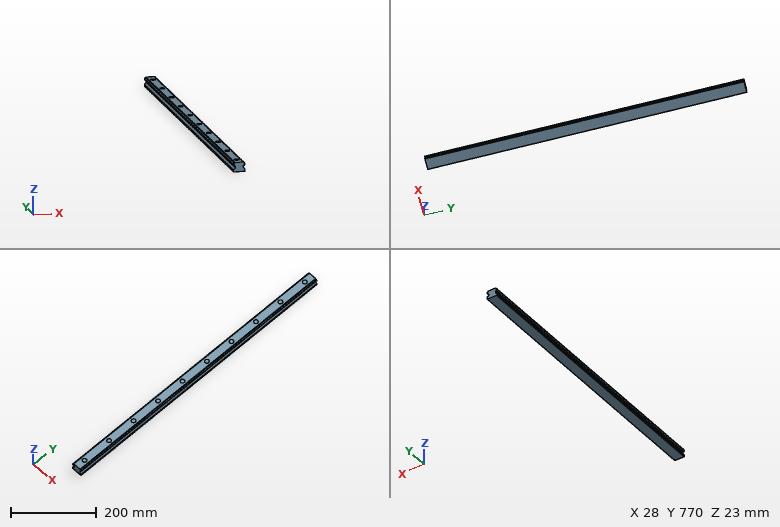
import cadquery as cq
import math

WIDTH = 28.0
LENGTH = 770.0
HEIGHT = 23.0

TOP_FLAT_WIDTH = 21.0
SHOULDER_BEVEL = 1.3
HEAD_FLANK_TOP = 19.0
HEAD_FLANK_BOTTOM = 17.0
TRACK_SAG = 0.5

WAIST_WIDTH = 19.0
WAIST_TOP = 13.5
WAIST_BOTTOM = 10.0
UNDERCUT_WIDTH = 24.0
UNDERCUT_HEIGHT = 14.5

FOOT_FLANK_TOP = 5.2
FOOT_SHOULDER_WIDTH = 24.0
FOOT_SHOULDER_HEIGHT = 7.6
FOOT_CHAMFER = 0.8

RECESS_COUNT = 10
RECESS_PITCH = 80.0
RECESS_DIAMETER = 11.0
RECESS_DEPTH = 0.5


def track_midpoint(start, end):
    """Middle point of a hollow track arc running downwards from start to end on the +X side."""
    chord_x = end[0] - start[0]
    chord_z = end[1] - start[1]
    chord = math.hypot(chord_x, chord_z)
    return (
        (start[0] + end[0]) / 2 + TRACK_SAG * chord_z / chord,
        (start[1] + end[1]) / 2 - TRACK_SAG * chord_x / chord,
    )


def make_rail():
    """Extrude the symmetric rail section along Y, centred on the origin."""
    half_width = WIDTH / 2
    half_top = TOP_FLAT_WIDTH / 2
    half_waist = WAIST_WIDTH / 2
    upper_track_start = (half_top + SHOULDER_BEVEL, HEIGHT - SHOULDER_BEVEL)
    upper_track_end = (half_width, HEAD_FLANK_TOP)
    lower_track_start = (half_width, HEAD_FLANK_BOTTOM)
    lower_track_end = (UNDERCUT_WIDTH / 2, UNDERCUT_HEIGHT)
    half_section = (
        cq.Workplane("XZ")
        .moveTo(0, HEIGHT)
        .lineTo(half_top, HEIGHT)
        .lineTo(*upper_track_start)
        .threePointArc(track_midpoint(upper_track_start, upper_track_end), upper_track_end)
        .lineTo(*lower_track_start)
        .threePointArc(track_midpoint(lower_track_start, lower_track_end), lower_track_end)
        .lineTo(half_waist, WAIST_TOP)
        .lineTo(half_waist, WAIST_BOTTOM)
        .lineTo(FOOT_SHOULDER_WIDTH / 2, FOOT_SHOULDER_HEIGHT)
        .lineTo(half_width, FOOT_FLANK_TOP)
        .lineTo(half_width, FOOT_CHAMFER)
        .lineTo(half_width - FOOT_CHAMFER, 0)
        .lineTo(0, 0)
        .close()
        .extrude(LENGTH / 2, both=True)
    )
    return half_section.union(half_section.mirror("YZ")).clean()


def make_recesses():
    """Shallow discs to be removed from the top face, evenly spaced along the rail."""
    return (
        cq.Workplane("XY", origin=(0, 0, HEIGHT))
        .rarray(1, RECESS_PITCH, 1, RECESS_COUNT)
        .circle(RECESS_DIAMETER / 2)
        .extrude(-RECESS_DEPTH)
    )


result = make_rail().cut(make_recesses())